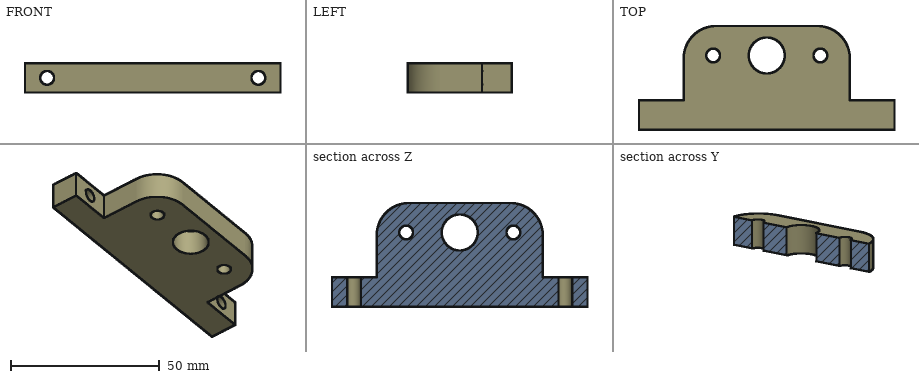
import cadquery as cq

length = 86.0
depth = 35.0
thickness = 10.0
foot_depth = 10.0
plate_width = 56.0
corner_radius = 11.0

bore_diameter = 12.0
screw_diameter = 4.6
hole_row_y = 25.0
plate_screw_spacing = 36.0
foot_screw_spacing = 71.0

foot = cq.Workplane("XY").box(length, foot_depth, thickness, centered=(True, False, False))

plate = (
    cq.Workplane("XY")
    .box(plate_width, depth, thickness, centered=(True, False, False))
    .edges("|Z and >Y")
    .fillet(corner_radius)
)

bore = cq.Workplane("XY").center(0, hole_row_y).circle(bore_diameter / 2).extrude(thickness)
plate_screws = (
    cq.Workplane("XY")
    .center(0, hole_row_y)
    .rarray(plate_screw_spacing, 0.9, 2, 1)
    .circle(screw_diameter / 2)
    .extrude(thickness)
)

foot_screws = (
    cq.Workplane("XZ")
    .center(0, thickness / 2)
    .rarray(foot_screw_spacing, 0.9, 2, 1)
    .circle(screw_diameter / 2)
    .extrude(-foot_depth)
)

result = foot.union(plate).cut(bore).cut(plate_screws).cut(foot_screws)